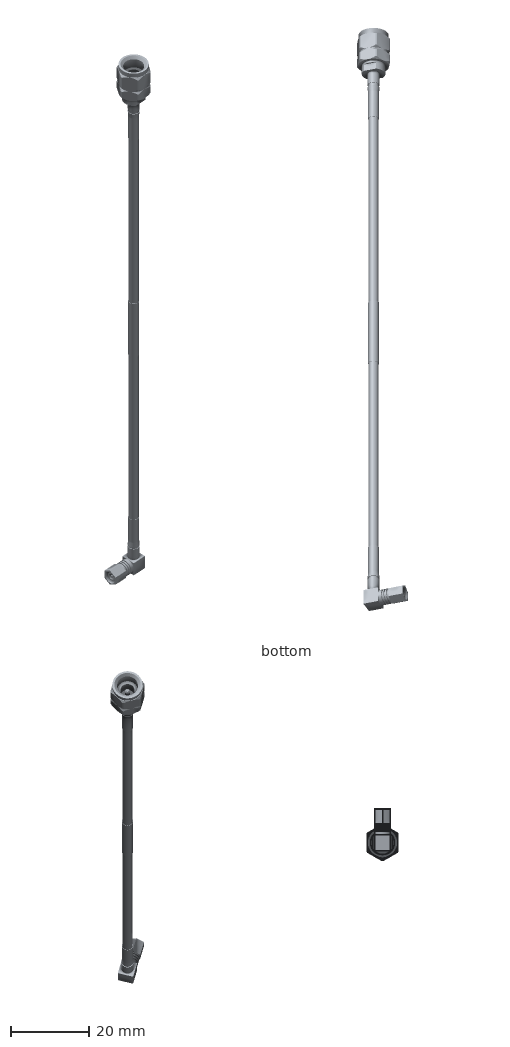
import cadquery as cq
import math

TOTAL_LENGTH = 168.2


def hexagon_corner_diameter(width_across_flats):
    return width_across_flats / math.cos(math.radians(30))


CABLE_BOTTOM = 10.0
CABLE_LENGTH = 141.3
CABLE_TOP = CABLE_BOTTOM + CABLE_LENGTH
CABLE_RADIUS = 1.31
WRAP_RADIUS = 1.4
SLEEVE_LENGTH = 7.5
LABEL_LENGTH = 17.8

FERRULE_RADIUS = 1.55
FERRULE_NECK_RADIUS = WRAP_RADIUS
FERRULE_CONE_LENGTH = 1.5

NUT_BOTTOM = 159.1
NUT_WIDTH = 7.9
NUT_CORNER_DIAMETER = 9.0
NUT_CORNER_RADIUS = NUT_CORNER_DIAMETER / 2
NUT_COLLAR_RADIUS = 3.9
NUT_COLLAR_LENGTH = 1.3
NUT_GROOVE_Z = 162.3
NUT_GROOVE_FLOOR = 0.3
NUT_CHAMFER_HEIGHT = 0.5
NUT_BORE_RADIUS = 2.7
NUT_MOUTH_RADIUS = 3.4

FLANGE_RADIUS = 3.0
FLANGE_BOTTOM = 156.8
FLANGE_ROUND_LENGTH = 0.5
FLANGE_FLATS_WIDTH = 5
UPPER_GROOVE_LENGTH = 0.8
SHELL_TOP = 164.9
SOCKET_RADIUS = 1.9
SOCKET_DEPTH = 3.4
INSERT_RADIUS = 1.5
INSERT_HEIGHT = 0.8
PIN_RADIUS = 0.7
PIN_TIP_CHAMFER = 0.3

BLOCK_WIDTH = 4.0
HEX_WIDTH = BLOCK_WIDTH
BARREL_Z = hexagon_corner_diameter(HEX_WIDTH) / 2
LOWER_GROOVE_LENGTH = 0.5
BARREL_RADIUS = 2.0
BARREL_GROOVE_RADIUS = 1.7
BARREL_GROOVE_WIDTH = 0.3
BARREL_GROOVE_STARTS = (-2.9, -3.5, -4.2)
HEX_BACK_Y = -4.9
OVERALL_DEPTH = 13.1
HEX_FRONT_Y = NUT_CORNER_RADIUS - OVERALL_DEPTH
PLUG_BORE_RADIUS = 1.7
PLUG_BORE_DEPTH = 2.5
CONTACT_RADIUS = 1.2
CONTACT_BORE_RADIUS = 0.8
CONTACT_SETBACK = 0.5
PLUG_PIN_RADIUS = 0.3


def rod(radius, bottom, top):
    """Cylinder on the cable axis."""
    return cq.Workplane("XY").workplane(offset=bottom).circle(radius).extrude(top - bottom)


def barrel_rod(radius, back, front):
    """Cylinder on the axis of the right-angle barrel, which points to -Y."""
    return cq.Workplane("XZ", origin=(0, back, BARREL_Z)).circle(radius).extrude(back - front)


def turned(profile):
    """Solid of revolution about Z from (radius, Z) points."""
    return cq.Workplane("XZ").polyline(profile).close().revolve(360, (0, 0, 0), (0, 1, 0))


def make_cable():
    return rod(CABLE_RADIUS, CABLE_BOTTOM, CABLE_TOP)


def make_wrap(bottom, length):
    """Thin tube around the cable."""
    top = bottom + length
    return rod(WRAP_RADIUS, bottom, top).cut(rod(CABLE_RADIUS, bottom, top))


def make_ferrule(cable_end, groove_length, far_end):
    """Cone that widens from the end of the cable, a narrow groove, then a plain collar."""
    direction = math.copysign(1, far_end - cable_end)
    cone_end = cable_end + direction * FERRULE_CONE_LENGTH
    groove_end = cone_end + direction * groove_length
    return turned([
        (0, cable_end),
        (WRAP_RADIUS, cable_end),
        (FERRULE_RADIUS, cone_end),
        (FERRULE_NECK_RADIUS, cone_end),
        (FERRULE_NECK_RADIUS, groove_end),
        (FERRULE_RADIUS, groove_end),
        (FERRULE_RADIUS, far_end),
        (0, far_end),
    ])


def make_nut():
    """Hexagon with turned corners on Y, chamfered ends, a groove around it and a round collar on top."""
    hex_top = TOTAL_LENGTH - NUT_COLLAR_LENGTH
    flat_radius = NUT_WIDTH / 2
    groove_bottom = NUT_GROOVE_Z - NUT_GROOVE_FLOOR / 2
    groove_top = NUT_GROOVE_Z + NUT_GROOVE_FLOOR / 2
    hexagon = (
        cq.Workplane("XY")
        .workplane(offset=NUT_BOTTOM)
        .polygon(6, hexagon_corner_diameter(NUT_WIDTH))
        .extrude(hex_top - NUT_BOTTOM)
        .rotate((0, 0, 0), (0, 0, 1), 30)
    )
    turned_limit = turned([
        (0, NUT_BOTTOM),
        (flat_radius, NUT_BOTTOM),
        (NUT_CORNER_RADIUS, NUT_BOTTOM + NUT_CHAMFER_HEIGHT),
        (NUT_CORNER_RADIUS, groove_bottom - NUT_CHAMFER_HEIGHT),
        (flat_radius, groove_bottom),
        (flat_radius, groove_top),
        (NUT_CORNER_RADIUS, groove_top + NUT_CHAMFER_HEIGHT),
        (NUT_CORNER_RADIUS, hex_top - NUT_CHAMFER_HEIGHT),
        (flat_radius, hex_top),
        (0, hex_top),
    ])
    bore = rod(NUT_BORE_RADIUS, NUT_BOTTOM, TOTAL_LENGTH)
    mouth_depth = NUT_MOUTH_RADIUS - NUT_BORE_RADIUS
    mouth = turned([
        (0, TOTAL_LENGTH),
        (NUT_MOUTH_RADIUS, TOTAL_LENGTH),
        (NUT_BORE_RADIUS, TOTAL_LENGTH - mouth_depth),
        (0, TOTAL_LENGTH - mouth_depth),
    ])
    collar = rod(NUT_COLLAR_RADIUS, hex_top, TOTAL_LENGTH)
    return hexagon.intersect(turned_limit).union(collar).cut(bore).cut(mouth)


def make_straight_plug():
    """Ferrule, flange with two wrench flats, and a socket shell with a centre pin inside the nut."""
    ferrule = make_ferrule(CABLE_TOP, UPPER_GROOVE_LENGTH, FLANGE_BOTTOM)
    flats_top = NUT_BOTTOM - FLANGE_ROUND_LENGTH
    flats = rod(FLANGE_RADIUS, FLANGE_BOTTOM, flats_top).intersect(
        cq.Workplane("XY")
        .workplane(offset=FLANGE_BOTTOM)
        .rect(FLANGE_FLATS_WIDTH, 2 * FLANGE_RADIUS)
        .extrude(flats_top - FLANGE_BOTTOM)
    )
    flange = rod(FLANGE_RADIUS, flats_top, NUT_BOTTOM)
    socket_floor = SHELL_TOP - SOCKET_DEPTH
    shell = rod(NUT_BORE_RADIUS, NUT_BOTTOM, SHELL_TOP).cut(rod(SOCKET_RADIUS, socket_floor, SHELL_TOP))
    insert = rod(INSERT_RADIUS, socket_floor, socket_floor + INSERT_HEIGHT)
    pin = rod(PIN_RADIUS, socket_floor, SHELL_TOP).faces(">Z").chamfer(PIN_TIP_CHAMFER)
    return ferrule.union(flats).union(flange).union(shell).union(insert).union(pin)


def make_right_angle_plug():
    """Ferrule on a square block, with a grooved barrel that ends in a bored hexagon."""
    block_top = BARREL_Z + BLOCK_WIDTH / 2
    ferrule = make_ferrule(CABLE_BOTTOM, LOWER_GROOVE_LENGTH, block_top)
    block_front = -BLOCK_WIDTH / 2
    block = cq.Workplane("XY").box(BLOCK_WIDTH, BLOCK_WIDTH, BLOCK_WIDTH).translate((0, 0, BARREL_Z))

    barrel = barrel_rod(BARREL_RADIUS, block_front, HEX_BACK_Y)
    for start in BARREL_GROOVE_STARTS:
        end = start - BARREL_GROOVE_WIDTH
        groove = barrel_rod(BARREL_RADIUS, start, end).cut(barrel_rod(BARREL_GROOVE_RADIUS, start, end))
        barrel = barrel.cut(groove)

    hexagon = (
        cq.Workplane("XZ", origin=(0, HEX_BACK_Y, BARREL_Z))
        .transformed(rotate=(0, 0, 30))
        .polygon(6, hexagon_corner_diameter(HEX_WIDTH))
        .extrude(HEX_BACK_Y - HEX_FRONT_Y)
    )
    bore_floor = HEX_FRONT_Y + PLUG_BORE_DEPTH
    contact_front = HEX_FRONT_Y + CONTACT_SETBACK
    bore = barrel_rod(PLUG_BORE_RADIUS, bore_floor, HEX_FRONT_Y)
    contact = barrel_rod(CONTACT_RADIUS, bore_floor, contact_front).cut(
        barrel_rod(CONTACT_BORE_RADIUS, bore_floor, contact_front)
    )
    pin = barrel_rod(PLUG_PIN_RADIUS, bore_floor, contact_front)
    return block.union(ferrule).union(barrel).union(hexagon).cut(bore).union(contact).union(pin)


cable = make_cable()
sleeves = [
    make_wrap(bottom, SLEEVE_LENGTH)
    for bottom in (CABLE_BOTTOM, CABLE_TOP - SLEEVE_LENGTH)
]
label = make_wrap(CABLE_BOTTOM + (CABLE_LENGTH - LABEL_LENGTH) / 2, LABEL_LENGTH)
nut = make_nut()
straight_plug = make_straight_plug()
right_angle_plug = make_right_angle_plug()

result = cq.Compound.makeCompound([
    cable.val(),
    *[sleeve.val() for sleeve in sleeves],
    label.val(),
    nut.val(),
    straight_plug.val(),
    right_angle_plug.val(),
])